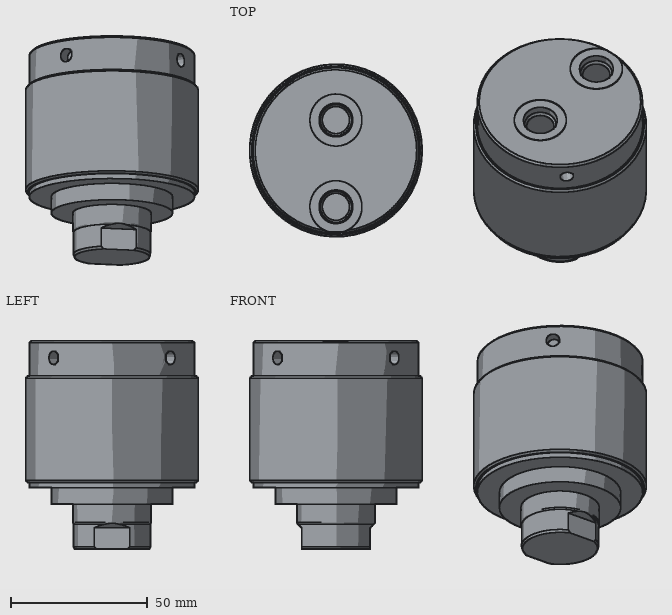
import cadquery as cq
import math

total_height = 76.3
body_top = 63.4
body_bottom = 24.4
rim_bottom = 22.6
flange_bottom = 16.5
neck_bottom = 9.85

body_radius = 31.64
cap_radius = 30.3
flange_radius = 22.2
neck_radius = 14.35
spigot_radius = 14.1

cap_chamfer = 0.8
body_chamfer = 0.8
spigot_chamfer_width = 0.4
spigot_chamfer_height = 1.0
neck_chamfer_height = 0.7

flat_distance = 12.5
flat_top = 7.8

port_positions = [(0, 11.15), (0, -20.6)]
spotface_radius = 9.55
spotface_depth = 0.3
port_mouth_radius = 6.2
port_seat_radius = 5.7
port_seat_depth = 2.7
port_bore_top_depth = 3.6
port_bore_radius = 4.95
port_depth = 15.3

spanner_hole_count = 4
spanner_first_angle = 45.0
spanner_hole_radius = 2.45
spanner_hole_depth = 4.6
spanner_hole_height = 70.1


def turned_body():
    """Revolve the stepped half profile, given as (radius, height), about Z."""
    profile = [
        (0, 0),
        (spigot_radius - spigot_chamfer_width, 0),
        (spigot_radius, spigot_chamfer_height),
        (spigot_radius, neck_bottom - neck_chamfer_height),
        (neck_radius, neck_bottom),
        (neck_radius, flange_bottom),
        (flange_radius, flange_bottom),
        (flange_radius, rim_bottom),
        (cap_radius, rim_bottom),
        (cap_radius, body_bottom),
        (body_radius - body_chamfer, body_bottom),
        (body_radius, body_bottom + body_chamfer),
        (body_radius, body_top - body_chamfer),
        (body_radius - body_chamfer, body_top),
        (cap_radius, body_top),
        (cap_radius, total_height - cap_chamfer),
        (cap_radius - cap_chamfer, total_height),
        (0, total_height),
    ]
    return cq.Workplane("XZ").polyline(profile).close().revolve(360, (0, 0), (0, 1))


def flat_cutter(side):
    """Block that cuts one wrench flat, with a 45 degree run-out at its top."""
    outer = 2 * neck_radius
    run_out_top = flat_top + outer - flat_distance
    return (
        cq.Workplane("XZ")
        .polyline([
            (side * flat_distance, 0),
            (side * outer, 0),
            (side * outer, run_out_top),
            (side * flat_distance, flat_top),
        ])
        .close()
        .extrude(neck_radius, both=True)
        .intersect(cq.Workplane("XY").circle(2 * outer).extrude(neck_bottom))
    )


def port_cutter(x, y):
    """Spotface, tapered mouth, conical seat and blind bore revolved about the port axis."""
    profile = [
        (0, 0),
        (spotface_radius, 0),
        (spotface_radius, -spotface_depth),
        (port_mouth_radius, -spotface_depth),
        (port_seat_radius, -port_seat_depth),
        (port_bore_radius, -port_bore_top_depth),
        (port_bore_radius, -port_depth),
        (0, -port_depth),
    ]
    cutter = cq.Workplane("XZ").polyline(profile).close().revolve(360, (0, 0), (0, 1))
    return cutter.translate((x, y, total_height))


def spanner_hole_cutter(angle):
    """Blind radial hole entering the cap at the given angle in degrees."""
    direction = cq.Vector(math.cos(math.radians(angle)), math.sin(math.radians(angle)), 0)
    start = direction * (cap_radius - spanner_hole_depth) + cq.Vector(0, 0, spanner_hole_height)
    return cq.Solid.makeCylinder(spanner_hole_radius, 2 * spanner_hole_depth, start, direction)


result = turned_body()
for side in (-1, 1):
    result = result.cut(flat_cutter(side))
for x, y in port_positions:
    result = result.cut(port_cutter(x, y))
for index in range(spanner_hole_count):
    result = result.cut(spanner_hole_cutter(spanner_first_angle + index * 360 / spanner_hole_count))